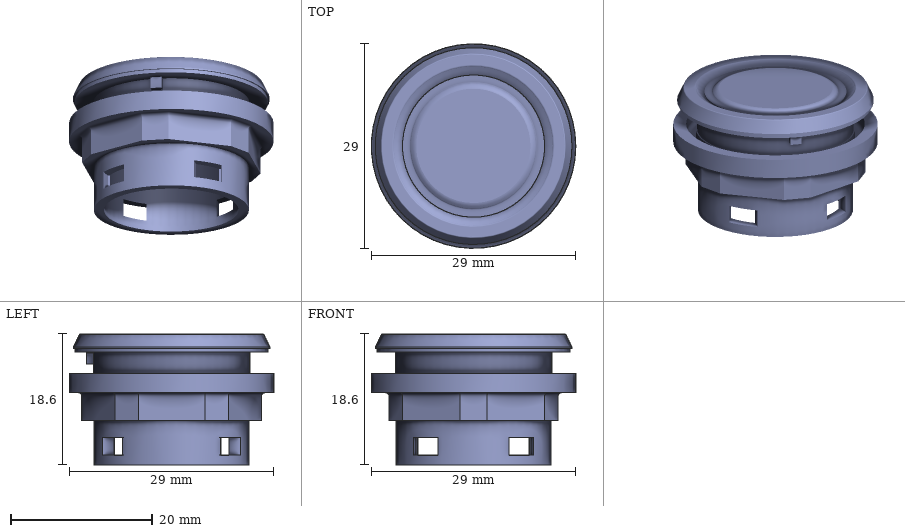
import cadquery as cq
import math

WINDOW_BOTTOM = 1.4
WINDOW_TOP = 3.9
NUT_BOTTOM = 6.3
FLANGE_BOTTOM = 10.25
RECESS_FLOOR = 11.0
SHOULDER_TOP = 12.25
FLANGE_TOP = 13.0
BORE_TOP = 15.0
HEAD_BOTTOM = 16.0
BEVEL_BOTTOM = 16.5
BEVEL_START = 16.7
DISH_BOTTOM = 17.75
DISH_FLOOR = 17.9
BUTTON_TOP = 18.4
HEAD_TOP = 18.55

BODY_RADIUS = 22.0 / 2
BORE_RADIUS = 19.1 / 2
SHOULDER_RADIUS = 22.6 / 2
NECK_RADIUS = 22.2 / 2

COLLAR_RADIUS = 27.4 / 2
HEAD_RADIUS = 27.9 / 2
BEVEL_TOP_RADIUS = 13.1
RIM_OUTER_RADIUS = 12.9
RIM_INNER_RADIUS = 11.5
RIM_EDGE_DROP = 0.1
DISH_EDGE_RADIUS = 11.27
DISH_FLOOR_RADIUS = 10.08
BUTTON_FOOT_RADIUS = 9.07
BUTTON_FOOT_DROP = 0.08
BUTTON_FLANK_BOTTOM_RADIUS = 8.9
BUTTON_FLANK_TOP_RADIUS = 8.55
BUTTON_FLANK_DROP = 0.18
BUTTON_FACE_RADIUS = 8.1

FLANGE_RADIUS = 29.0 / 2
HEX_ACROSS_FLATS = 24.0
CORNER_ACROSS_FLATS = 25.5
NUT_FILLET = 0.45
RECESS_RADIUS = 25.35 / 2
RECESS_FILLET = 0.57

WINDOW_SIDE_X = 5.05
WINDOW_OUTER_X = 8.5
WINDOW_STEP_X = 8.15
WINDOW_STEP_Y = 5.4

PIN_TIP_Y = 12.1
PIN_WIDTH = 1.6
PIN_BOTTOM = 14.3
PIN_TOP = 15.9


def make_body():
    """Lower barrel, neck and head, revolved; the arcs round the rim and the button."""
    rim_edge = HEAD_TOP - RIM_EDGE_DROP
    flank_top = BUTTON_TOP - BUTTON_FLANK_DROP
    flank_bottom = DISH_FLOOR + BUTTON_FOOT_DROP
    profile = (
        cq.Workplane("XZ")
        .moveTo(0, 0)
        .lineTo(BODY_RADIUS, 0)
        .lineTo(BODY_RADIUS, NUT_BOTTOM)
        .lineTo(SHOULDER_RADIUS, NUT_BOTTOM)
        .lineTo(SHOULDER_RADIUS, SHOULDER_TOP)
        .lineTo(NECK_RADIUS, SHOULDER_TOP)
        .lineTo(NECK_RADIUS, HEAD_BOTTOM)
        .lineTo(COLLAR_RADIUS, HEAD_BOTTOM)
        .lineTo(COLLAR_RADIUS, BEVEL_BOTTOM)
        .lineTo(HEAD_RADIUS, BEVEL_BOTTOM)
        .lineTo(HEAD_RADIUS, BEVEL_START)
        .lineTo(BEVEL_TOP_RADIUS, rim_edge)
        .tangentArcPoint((RIM_OUTER_RADIUS, HEAD_TOP), relative=False)
        .lineTo(RIM_INNER_RADIUS, HEAD_TOP)
        .tangentArcPoint((DISH_EDGE_RADIUS, rim_edge), relative=False)
        .lineTo(DISH_FLOOR_RADIUS, DISH_BOTTOM)
        .lineTo(DISH_FLOOR_RADIUS, DISH_FLOOR)
        .lineTo(BUTTON_FOOT_RADIUS, DISH_FLOOR)
        .tangentArcPoint((BUTTON_FLANK_BOTTOM_RADIUS, flank_bottom), relative=False)
        .lineTo(BUTTON_FLANK_TOP_RADIUS, flank_top)
        .tangentArcPoint((BUTTON_FACE_RADIUS, BUTTON_TOP), relative=False)
        .lineTo(0, BUTTON_TOP)
        .close()
    )
    return profile.revolve(360, (0, 0, 0), (0, 1, 0))


def make_prism(across_flats):
    """Hexagonal prism over the nut height, with two corners on the X axis."""
    across_corners = across_flats / math.cos(math.pi / 6)
    prism = cq.Workplane("XY").workplane(offset=NUT_BOTTOM).polygon(6, across_corners)
    return prism.extrude(FLANGE_BOTTOM - NUT_BOTTOM)


def make_nut():
    """Twelve-sided nut with a filleted round flange and a recess in its top."""
    hexagon = make_prism(HEX_ACROSS_FLATS).rotate((0, 0, 0), (0, 0, 1), 30)
    twelve_sided = hexagon.intersect(make_prism(CORNER_ACROSS_FLATS))
    flange = (
        cq.Workplane("XY")
        .workplane(offset=FLANGE_BOTTOM)
        .circle(FLANGE_RADIUS)
        .extrude(FLANGE_TOP - FLANGE_BOTTOM)
    )
    nut = twelve_sided.union(flange)
    nut = nut.faces("<Z[1]").edges("%LINE").fillet(NUT_FILLET)
    recess = (
        cq.Workplane("XY")
        .workplane(offset=RECESS_FLOOR)
        .circle(RECESS_RADIUS)
        .extrude(FLANGE_TOP - RECESS_FLOOR)
        .faces("<Z")
        .edges()
        .fillet(RECESS_FILLET)
    )
    return nut.cut(recess)


def make_window():
    """Cutter for the barrel window in the +X +Y quadrant."""
    outer_y = math.sqrt(BODY_RADIUS**2 - WINDOW_OUTER_X**2)
    return (
        cq.Workplane("XY")
        .workplane(offset=WINDOW_BOTTOM)
        .moveTo(WINDOW_SIDE_X, WINDOW_STEP_Y)
        .lineTo(WINDOW_STEP_X, WINDOW_STEP_Y)
        .lineTo(WINDOW_OUTER_X, outer_y)
        .lineTo(WINDOW_OUTER_X, BODY_RADIUS)
        .lineTo(WINDOW_SIDE_X, BODY_RADIUS)
        .close()
        .extrude(WINDOW_TOP - WINDOW_BOTTOM)
    )


def make_pin():
    """Rectangular locating pin that starts inside the neck."""
    root_y = BORE_RADIUS
    return cq.Workplane("XY").box(
        PIN_WIDTH, PIN_TIP_Y - root_y, PIN_TOP - PIN_BOTTOM, centered=(True, False, False)
    ).translate((0, root_y, PIN_BOTTOM))


body = make_body().union(make_nut()).union(make_pin())
body = body.cut(cq.Workplane("XY").circle(BORE_RADIUS).extrude(BORE_TOP))

window = make_window()
for cutter in (window, window.mirror("YZ")):
    body = body.cut(cutter).cut(cutter.mirror("XZ"))

result = body